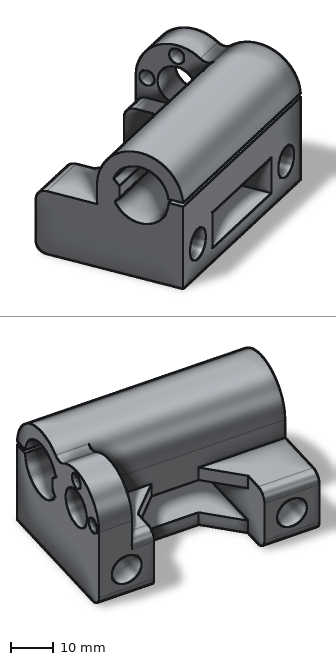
import cadquery as cq
import math

length = 60.0
width = 39.5
leg_height = 17.1
corner_radius = 3.0

barrel_radius = 11.5
barrel_x = width - barrel_radius
axis_z = 22.5
bore_diameter = 15.2

key_tip_x = 22.45
key_center_z = 21.9
key_tip_height = 3.35

slit_height = 1.0
slit_bottom_z = 22.4

plate_thickness = 9.0
lobe_radius = 11.0
neck_radius = 3.0
rod_hole_diameter = 10.2
screw_hole_diameter = 4.0
screw_offset = 8.0

leg_length = 15.0
slab_thickness = 3.7
notch_shoulder_x = 7.85
leg_hole_diameter = 8.1

wall_x = barrel_x - barrel_radius
gap_length = length - 2 * leg_length


def extrude_along_y(profile, start, depth):
    """Extrude an XZ profile toward +Y, beginning at y = start."""
    return profile.extrude(-depth).translate((0, start, 0))


def xz_cylinder(x, z, diameter, start, depth):
    """Cylinder parallel to Y."""
    return extrude_along_y(cq.Workplane("XZ").center(x, z).circle(diameter / 2), start, depth)


def xz_box(x_min, x_max, z_min, z_max, start, depth):
    """Box given by its XZ corners and its extent along Y."""
    profile = cq.Workplane("XZ").moveTo(x_min, z_min).lineTo(x_max, z_min)
    profile = profile.lineTo(x_max, z_max).lineTo(x_min, z_max).close()
    return extrude_along_y(profile, start, depth)


def make_base():
    """Leg block with both -X edges rounded, topped by the barrel and its side walls."""
    legs = xz_box(0, width, 0, leg_height, 0, length).edges("|Y and <X").fillet(corner_radius)
    walls = xz_box(wall_x, width, 0, axis_z, 0, length)
    barrel = xz_cylinder(barrel_x, axis_z, 2 * barrel_radius, 0, length)
    return legs.union(walls).union(barrel)


def make_rod_plate():
    """End plate: a round lobe blended into the barrel by a concave neck arc."""
    spacing = barrel_x - lobe_radius
    lobe_reach = lobe_radius + neck_radius
    barrel_reach = barrel_radius + neck_radius
    neck_dx = (spacing**2 + lobe_reach**2 - barrel_reach**2) / (2 * spacing)
    neck_dz = math.sqrt(lobe_reach**2 - neck_dx**2)
    neck_x = lobe_radius + neck_dx
    neck_z = axis_z + neck_dz

    lobe_scale = lobe_radius / lobe_reach
    barrel_scale = barrel_radius / barrel_reach
    lobe_tangent = (lobe_radius + neck_dx * lobe_scale, axis_z + neck_dz * lobe_scale)
    barrel_tangent = (
        barrel_x + (neck_x - barrel_x) * barrel_scale,
        axis_z + (neck_z - axis_z) * barrel_scale,
    )
    profile = (
        cq.Workplane("XZ")
        .moveTo(corner_radius, 0)
        .radiusArc((0, corner_radius), corner_radius)
        .lineTo(0, axis_z)
        .threePointArc((lobe_radius, axis_z + lobe_radius), lobe_tangent)
        .radiusArc(barrel_tangent, -neck_radius)
        .lineTo(barrel_x, axis_z)
        .lineTo(barrel_x, 0)
        .close()
    )
    return extrude_along_y(profile, length - plate_thickness, plate_thickness)


def make_bore():
    """Barrel bore, leaving the key standing, together with the clamping slit."""
    bore = xz_cylinder(barrel_x, axis_z, bore_diameter, 0, length)
    key_root_x = barrel_x - bore_diameter / 2
    tip_half = key_tip_height / 2
    root_half = tip_half + key_tip_x - key_root_x
    key_profile = (
        cq.Workplane("XZ")
        .moveTo(key_root_x, key_center_z - root_half)
        .lineTo(key_tip_x, key_center_z - tip_half)
        .lineTo(key_tip_x, key_center_z + tip_half)
        .lineTo(key_root_x, key_center_z + root_half)
        .close()
    )
    key = extrude_along_y(key_profile, 0, length)
    slit = xz_box(barrel_x, width, slit_bottom_z, slit_bottom_z + slit_height, 0, length)
    return bore.cut(key).union(slit)


def make_rod_holes():
    """Rod hole and two screw holes through the end plate."""
    holes = [
        (lobe_radius, axis_z, rod_hole_diameter),
        (lobe_radius - screw_offset, axis_z, screw_hole_diameter),
        (lobe_radius, axis_z + screw_offset, screw_hole_diameter),
    ]
    cutter = cq.Workplane("XZ")
    for x, z, diameter in holes:
        cutter = cutter.add(xz_cylinder(x, z, diameter, length - plate_thickness, plate_thickness))
    return cutter.combine()


def make_notch():
    """Opening between the legs, narrowing at 45 degrees toward the barrel wall."""
    taper = wall_x - notch_shoulder_x
    return (
        cq.Workplane("XY")
        .moveTo(0, leg_length)
        .lineTo(notch_shoulder_x, leg_length)
        .lineTo(wall_x, leg_length + taper)
        .lineTo(wall_x, length - leg_length - taper)
        .lineTo(notch_shoulder_x, length - leg_length)
        .lineTo(0, length - leg_length)
        .close()
        .extrude(leg_height)
    )


def make_leg_holes():
    """One hole along X through the middle of each leg."""
    centers = [(leg_length / 2, leg_height / 2), (length - leg_length / 2, leg_height / 2)]
    return cq.Workplane("YZ").pushPoints(centers).circle(leg_hole_diameter / 2).extrude(width)


window = xz_box(0, width, slab_thickness, leg_height - slab_thickness, leg_length, gap_length)

result = (
    make_base()
    .union(make_rod_plate())
    .cut(make_bore())
    .cut(make_rod_holes())
    .cut(make_notch())
    .cut(window)
    .cut(make_leg_holes())
)